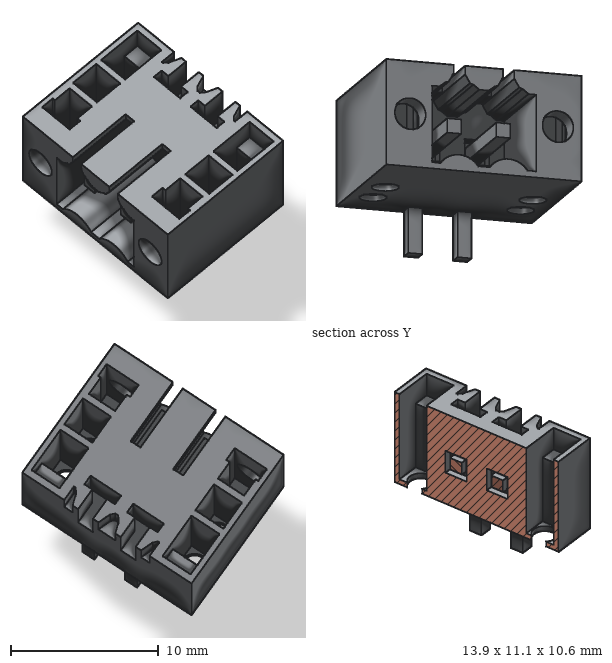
import cadquery as cq


WIDTH = 13.9
DEPTH = 11.05
HEIGHT = 7.42
FLOOR = 0.43

PITCH = 3.5
POLE_XS = [-PITCH / 2, PITCH / 2]
NOTCH_XS = [-PITCH, 0, PITCH]

PIN_SIZE = 1.0
PIN_Z = 3.46
PIN_TIP_Y = 1.18
PIN_BACK_GAP = 0.33
LEG_LENGTH = 3.22

CAVITY_WIDTH = 7.4
CAVITY_DEPTH = 7.0
CAVITY_DROP = 1.6
CAVITY_TOP = HEIGHT - CAVITY_DROP
LOBE_HALF = 1.4
KEYWAY_WIDTH = 0.8
KEYWAY_LENGTH = 5.06
LOBE_DROP = 0.53
LOBE_WALL_DROP = 0.61
LOBE_STEEP_HALF = 0.75
LOBE_STEEP_DROP = 1.2
LOBE_SHALLOW_HALF = 0.99
LOBE_SHALLOW_DROP = 1.28
RIDGE_HALF = 1.35
RIDGE_HEIGHT = 0.7
SOCKET_SIZE = 1.75
SOCKET_DEPTH = PIN_SIZE

SIDE_X = 5.25
SCREW_DIAMETER = 2.2
PEG_DIAMETER = 1.85
POCKET_X = 5.38
POCKET_WIDTH = 2.3
POCKET_LENGTH = 2.22
MIDDLE_POCKET_Y = 4.39
REAR_POCKET_Y = 7.09
SHELF_LENGTH = 1.24
SHELF_DROP = 1.78
NUT_BAR_INNER = 3.95
NUT_BAR_OUTER = 6.57
NUT_NECK_INNER = 4.23
NUT_NECK_OUTER = 6.37
NUT_BAR_Y = 1.49
NUT_NECK_Y = 2.5
NUT_BACK_Y = 3.9

SLOT_NECK_WIDTH = 1.22
SLOT_BAR_WIDTH = 2.5
SLOT_BAR_Y = 8.62
SLOT_NECK_Y = 9.35
SLOT_DROP = HEIGHT - PIN_Z - SOCKET_SIZE / 2

NOTCH_MOUTH_HALF = 0.7
NOTCH_KNEE_HALF = 0.36
NOTCH_KNEE_Y = DEPTH - 0.92
NOTCH_END_HALF = 0.13
NOTCH_END_Y = DEPTH - 1.17
NOTCH_DROP = CAVITY_DROP


def block(x_range, y_range, z_range):
    """Axis-aligned box between the given limits."""
    (x0, x1), (y0, y1), (z0, z1) = x_range, y_range, z_range
    return cq.Workplane("XY").box(x1 - x0, y1 - y0, z1 - z0, centered=False).translate((x0, y0, z0))


def centred(x, width):
    """Limits of a width centred on x."""
    return x - width / 2, x + width / 2


def front_sketch():
    """Plane of the mating face, extruding toward the back with negative distances."""
    return cq.Workplane("XZ")


def mirrored_outline(left_side):
    """Points of a symmetric outline, given its left side from one end to the middle."""
    right_side = [(-u, v) for u, v in reversed(left_side)]
    return left_side + right_side


def make_ridge(x):
    """Rounded ridge along the cavity floor under one pole."""
    return (
        front_sketch()
        .moveTo(x - RIDGE_HALF, FLOOR)
        .threePointArc((x, FLOOR + RIDGE_HEIGHT), (x + RIDGE_HALF, FLOOR))
        .close()
        .extrude(-CAVITY_DEPTH)
    )


def make_lobe(x):
    """Faceted upper part of the cavity over one pole, with a keyway through the top face."""
    left_side = [
        (-LOBE_HALF, CAVITY_TOP),
        (-LOBE_SHALLOW_HALF, HEIGHT - LOBE_SHALLOW_DROP),
        (-LOBE_STEEP_HALF, HEIGHT - LOBE_STEEP_DROP),
        (-KEYWAY_WIDTH / 2, HEIGHT - LOBE_WALL_DROP),
        (-KEYWAY_WIDTH / 2, HEIGHT - LOBE_DROP),
    ]
    lobe = front_sketch().polyline(mirrored_outline(left_side)).close().extrude(-CAVITY_DEPTH)
    keyway = block(centred(0, KEYWAY_WIDTH), (0, KEYWAY_LENGTH), (HEIGHT - LOBE_DROP, HEIGHT))
    return lobe.union(keyway).translate((x, 0, 0))


def make_cavity():
    """Open mating cavity, with one ridge, lobe and pin socket per pole."""
    cavity = block(centred(0, CAVITY_WIDTH), (0, CAVITY_DEPTH), (FLOOR, CAVITY_TOP))
    for x in POLE_XS:
        socket = block(
            centred(x, SOCKET_SIZE),
            (CAVITY_DEPTH, CAVITY_DEPTH + SOCKET_DEPTH),
            centred(PIN_Z, SOCKET_SIZE),
        )
        cavity = cavity.cut(make_ridge(x)).union(make_lobe(x)).union(socket)
    return cavity


def make_peg_pocket(y):
    """Right-hand top pocket with a round hole through its floor."""
    pocket = block(centred(POCKET_X, POCKET_WIDTH), (y, y + POCKET_LENGTH), (FLOOR, HEIGHT))
    hole = cq.Workplane("XY").center(SIDE_X, y + POCKET_LENGTH / 2).circle(PEG_DIAMETER / 2).extrude(HEIGHT)
    return pocket.union(hole)


def make_side_cuts():
    """Screw hole, T-shaped nut pocket and two peg pockets of the right-hand side."""
    screw = front_sketch().center(SIDE_X, HEIGHT / 2).circle(SCREW_DIAMETER / 2).extrude(-NUT_NECK_Y)
    nut_bar = block((NUT_BAR_INNER, NUT_BAR_OUTER), (NUT_BAR_Y, NUT_NECK_Y), (FLOOR, HEIGHT))
    nut_neck = block((NUT_NECK_INNER, NUT_NECK_OUTER), (NUT_NECK_Y, NUT_BACK_Y), (FLOOR, HEIGHT))
    middle = make_peg_pocket(MIDDLE_POCKET_Y)
    rear = make_peg_pocket(REAR_POCKET_Y)
    shelf_y = REAR_POCKET_Y + POCKET_LENGTH
    above_shelf = block(
        centred(POCKET_X, POCKET_WIDTH),
        (shelf_y, shelf_y + SHELF_LENGTH),
        (HEIGHT - SHELF_DROP, HEIGHT),
    )
    return screw.union(nut_bar).union(nut_neck).union(middle).union(rear).union(above_shelf)


def make_back_slot(x):
    """T-shaped slot behind one pole, open at the top and the back."""
    z_range = (HEIGHT - SLOT_DROP, HEIGHT)
    bar = block(centred(x, SLOT_BAR_WIDTH), (SLOT_BAR_Y, SLOT_NECK_Y), z_range)
    neck = block(centred(x, SLOT_NECK_WIDTH), (SLOT_NECK_Y, DEPTH), z_range)
    return bar.union(neck)


def make_notch(x):
    """Tapered notch with a narrow flat end, open at the top and the back."""
    left_side = [
        (-NOTCH_MOUTH_HALF, DEPTH),
        (-NOTCH_KNEE_HALF, NOTCH_KNEE_Y),
        (-NOTCH_END_HALF, NOTCH_END_Y),
    ]
    outline = cq.Workplane("XY", origin=(x, 0, HEIGHT)).polyline(mirrored_outline(left_side))
    return outline.close().extrude(-NOTCH_DROP)


def make_notches():
    """Whole notch in the middle, and the inner half of a notch at each outer side."""
    between_outer_planes = block((-PITCH, PITCH), (0, DEPTH), (0, HEIGHT))
    notches = make_notch(NOTCH_XS[0])
    for x in NOTCH_XS[1:]:
        notches = notches.union(make_notch(x))
    return notches.intersect(between_outer_planes)


def make_pin(x):
    """Square pin bent at a right angle: a horizontal arm and a leg going down at the back."""
    back_y = DEPTH - PIN_BACK_GAP
    arm = block(centred(x, PIN_SIZE), (PIN_TIP_Y, back_y), centred(PIN_Z, PIN_SIZE))
    leg = block(centred(x, PIN_SIZE), (back_y - PIN_SIZE, back_y), (-LEG_LENGTH, PIN_Z))
    return arm.union(leg)


def make_housing(pins):
    """Connector housing, with a matching hole for each pin."""
    side_cuts = make_side_cuts()
    housing = block(centred(0, WIDTH), (0, DEPTH), (0, HEIGHT))
    housing = housing.cut(make_cavity()).cut(side_cuts).cut(side_cuts.mirror("YZ")).cut(make_notches())
    for x in POLE_XS:
        housing = housing.cut(make_back_slot(x))
    for pin in pins:
        housing = housing.cut(pin)
    return housing


pins = [make_pin(x) for x in POLE_XS]
housing = make_housing(pins)

result = cq.Compound.makeCompound([housing.val(), *[pin.val() for pin in pins]])